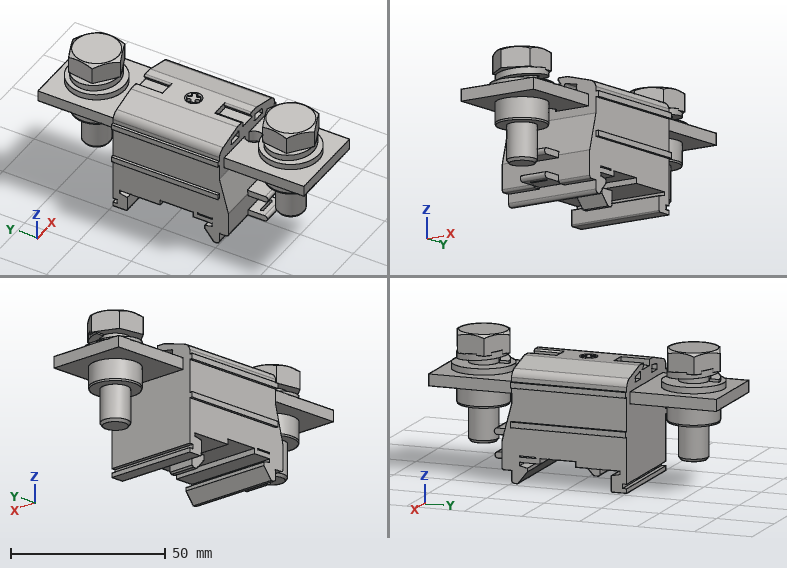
import cadquery as cq
import math

OVERLAP = 0.5

BAR_LENGTH = 100.0
BAR_WIDTH = 29.2
BAR_THICKNESS = 4.0
BAR_TOP_Z = 33.2
BAR_BOTTOM_Z = BAR_TOP_Z - BAR_THICKNESS
BAR_HOLE_DIAMETER = 6.0
BAR_HOLE_Y = -22.7

HOUSING_WIDTH = 35.2
HOUSING_HEIGHT = 40.2
HALF_WIDTH = HOUSING_WIDTH / 2
ROOF_FLAT_WIDTH = 12.3
ROOF_SLOPE_DEG = 15.0
ROOF_SLOPE_END_X = 15.2
WALL_TOP_Z = 35.3

HOUSING_LENGTH = 40.0
HALF_LENGTH = HOUSING_LENGTH / 2
SKIRT_FRONT_Y = -23.4
SKIRT_BOTTOM_Z = 4.25
SKIRT_RADIUS = 0.9
SLOPE_TOP_Z = 26.5
SLOPE_BOTTOM_Z = 13.6
RAIL_SEAT_Z = 7.2
RELIEF_TOP_Z = 9.05
RELIEF_BACK_Y = 2.25
RELIEF_FRONT_Y = -10.1
CLAW_LIP_Z = 5.45
CLAW_UNDERCUT_Z = 6.1
REAR_CLAW_Y = 14.6
REAR_CLAW_RADIUS = 0.5
REAR_UNDERCUT_Y = 17.6
REAR_NOTCH_DEPTH = 1.5
REAR_NOTCH_BOTTOM_Z = 1.55
REAR_NOTCH_HEIGHT = 1.5
FRONT_CLAW_Y = -14.5
FRONT_UNDERCUT_Y = -17.2
FRONT_CLAW_TIP_Y = -17.9
FRONT_CLAW_RADIUS = 1.2

SLIT_LENGTH = 5.5
SLIT_HEIGHT = 0.4
SLIT_Y = -14.45
SLIT_Z = 9.15

RIB_SPAN = 37.2
RIB_HEIGHT = 1.9
RIB_CENTRES_Z = (19.65, 32.85)

SLOT_INNER_X = 5.0
SLOT_OUTER_X = 9.8
SLOT_BOTTOM_Z = 35.4
SLOT_INNER_TOP_Z = 37.95
SLOT_OUTER_TOP_Z = 37.2
SLOT_CORNER_RADIUS = 0.4

POCKET_DEPTH = 2.1
POCKET_LENGTH = 10.0
POCKET_LEFT_X = -2.95
POCKET_RIGHT_X = 2.95
LIP_RADIUS = 0.65
UNDERCUT_X = 3.3
FRONT_LIP_OUTER_X = -3.55
FRONT_LIP_INNER_X = -2.6
FRONT_LIP_DROP = 0.5

SCREW_DIAMETER = 4.7
SCREW_RIM_DIAMETER = 5.9
SCREW_RIM_DEPTH = 0.6
SCALLOP_RADIUS = 0.75
SCALLOP_OFFSET = 1.95
SCALLOP_DEPTH = 1.2
SCALLOP_COUNT = 4
SCALLOP_START_DEG = -24.0

TONGUE_WIDTH = 10.0
TONGUE_THICKNESS = 2.15
UPPER_TONGUE_Z = 13.75
UPPER_TONGUE_Y = -30.9
LOWER_TONGUE_Z = 5.85
LOWER_TONGUE_Y = -30.65
TONGUE_SLOT_LENGTH = 6.4
TONGUE_SLOT_WIDTH = 1.0
TONGUE_SLOT_Y = -27.3
HOOK_BACK_Y = 5.9
HOOK_FRONT_Y = 0.4
HOOK_BOTTOM_Z = 1.7
HOOK_TIP_Y = 3.7
HOOK_LIP_Z = 5.3
HOOK_CHAMFER = 0.6

BOLT_Y = 36.5
SHANK_DIAMETER = 10.0
SHANK_BOTTOM_Z = 9.1
SHANK_CHAMFER = 0.75
SHANK_CHAMFER_HEIGHT = 1.0
COLLAR_DIAMETER = 17.5
COLLAR_BOTTOM_Z = 21.7
COLLAR_CHAMFER = 0.2
COLLAR_CHAMFER_HEIGHT = 0.6
WASHER_DIAMETER = 21.0
WASHER_TOP_Z = 35.3
HEAD_BOTTOM_Z = 39.25
HEAD_TOP_Z = 46.2
HEAD_SIDES = 6
HEAD_ACROSS_FLATS = 17.0
HEAD_CROWN_DIAMETER = 16.2
HEAD_CROWN_SLOPE_DEG = 30.0
HEAD_CORNER_DEG = 82.0
SPRING_INNER_DIAMETER = 11.0
SPRING_OUTER_DIAMETER = 17.5
SPRING_THICKNESS = 2.2
SPRING_PITCH = 4.7
SPRING_START_DEG = 90.0
SPRING_START_Z = 34.0


def box_between(x0, x1, y0, y1, z0, z1):
    """Box given by its limits on each axis."""
    return cq.Workplane("XY").box(x1 - x0, y1 - y0, z1 - z0, centered=False).translate((x0, y0, z0))


def extrude_along_y(points, y0, y1):
    """Prism of an (x, z) outline between two Y positions."""
    return cq.Workplane("XZ", origin=(0, y1, 0)).polyline(points).close().extrude(y1 - y0)


def extrude_along_x(points, width):
    """Prism of a (y, z) outline, centred on X = 0."""
    return cq.Workplane("YZ").polyline(points).close().extrude(width / 2, both=True)


def revolve_about_z(points):
    """Solid of revolution of a (radius, z) outline."""
    return cq.Workplane("XZ").polyline(points).close().revolve(360, (0, 0, 0), (0, 1, 0))


def cylinder_between(diameter, z0, z1):
    """Cylinder on the Z axis between two heights."""
    return cq.Workplane("XY", origin=(0, 0, z0)).circle(diameter / 2).extrude(z1 - z0)


def housing_side_prism():
    """Side outline with the two rail claws, at full housing width."""
    outline = [
        (-HALF_LENGTH, HOUSING_HEIGHT),
        (-HALF_LENGTH, SLOPE_TOP_Z),
        (SKIRT_FRONT_Y, SLOPE_BOTTOM_Z),
        (SKIRT_FRONT_Y, SKIRT_BOTTOM_Z),
        (-HALF_LENGTH, SKIRT_BOTTOM_Z),
        (-HALF_LENGTH, 0),
        (FRONT_CLAW_TIP_Y, 0),
        (FRONT_CLAW_Y, SKIRT_BOTTOM_Z),
        (FRONT_CLAW_Y, CLAW_LIP_Z),
        (FRONT_UNDERCUT_Y, CLAW_UNDERCUT_Z),
        (FRONT_UNDERCUT_Y, RAIL_SEAT_Z),
        (RELIEF_FRONT_Y, RAIL_SEAT_Z),
        (RELIEF_FRONT_Y, RELIEF_TOP_Z),
        (RELIEF_BACK_Y, RELIEF_TOP_Z),
        (RELIEF_BACK_Y, RAIL_SEAT_Z),
        (REAR_UNDERCUT_Y, RAIL_SEAT_Z),
        (REAR_UNDERCUT_Y, CLAW_UNDERCUT_Z),
        (REAR_CLAW_Y, CLAW_LIP_Z),
        (REAR_CLAW_Y, 0),
        (HALF_LENGTH, 0),
        (HALF_LENGTH, HOUSING_HEIGHT),
    ]
    prism = extrude_along_x(outline, HOUSING_WIDTH)
    skirt_edge = cq.selectors.NearestToPointSelector((0, SKIRT_FRONT_Y, SKIRT_BOTTOM_Z))
    prism = prism.edges(skirt_edge).fillet(SKIRT_RADIUS)
    claw_edge = cq.selectors.NearestToPointSelector((0, -HALF_LENGTH, 0))
    prism = prism.edges(claw_edge).fillet(FRONT_CLAW_RADIUS)
    heel_edge = cq.selectors.NearestToPointSelector((0, REAR_CLAW_Y, 0))
    prism = prism.edges(heel_edge).fillet(REAR_CLAW_RADIUS)
    notch = box_between(
        -HALF_WIDTH, HALF_WIDTH,
        HALF_LENGTH - REAR_NOTCH_DEPTH, HALF_LENGTH,
        REAR_NOTCH_BOTTOM_Z, REAR_NOTCH_BOTTOM_Z + REAR_NOTCH_HEIGHT,
    )
    tongue_relief = box_between(
        -TONGUE_WIDTH / 2, TONGUE_WIDTH / 2,
        SKIRT_FRONT_Y, -HALF_LENGTH,
        SKIRT_BOTTOM_Z, LOWER_TONGUE_Z - TONGUE_THICKNESS / 2,
    )
    slit = cq.Workplane("XY", origin=(0, SLIT_Y, SLIT_Z)).box(HOUSING_WIDTH, SLIT_LENGTH, SLIT_HEIGHT)
    return prism.cut(notch).cut(tongue_relief).cut(slit)


def housing_cross_prism():
    """Housing cross-section: flat roof, sloping shoulders and rounded eaves."""
    flat = ROOF_FLAT_WIDTH / 2
    slope = math.radians(ROOF_SLOPE_DEG)
    shoulder = (ROOF_SLOPE_END_X, HOUSING_HEIGHT - (ROOF_SLOPE_END_X - flat) * math.tan(slope))
    half = (
        cq.Workplane("XZ", origin=(0, HALF_LENGTH, 0))
        .lineTo(0, HOUSING_HEIGHT)
        .lineTo(flat, HOUSING_HEIGHT)
        .lineTo(*shoulder)
        .tangentArcPoint((HALF_WIDTH, WALL_TOP_Z), relative=False)
        .lineTo(HALF_WIDTH, 0)
        .close()
        .extrude(HALF_LENGTH - SKIRT_FRONT_Y)
    )
    return half.union(half.mirror("YZ"))


def side_ribs():
    """Full-width slabs whose ends stand out of the housing sides as ribs."""
    ribs = cq.Workplane("XY")
    for z in RIB_CENTRES_Z:
        ribs = ribs.union(cq.Workplane("XY", origin=(0, 0, z)).box(RIB_SPAN, HOUSING_LENGTH, RIB_HEIGHT))
    return ribs


def roof_slot(side):
    """Slot running the length of the housing beside its centre line."""
    outline = [
        (side * SLOT_INNER_X, SLOT_BOTTOM_Z),
        (side * SLOT_OUTER_X, SLOT_BOTTOM_Z),
        (side * SLOT_OUTER_X, SLOT_OUTER_TOP_Z),
        (side * SLOT_INNER_X, SLOT_INNER_TOP_Z),
    ]
    slot = extrude_along_y(outline, -HALF_LENGTH, HALF_LENGTH)
    return slot.faces(">Z").edges("|Y").fillet(SLOT_CORNER_RADIUS)


def roof_pocket(y0, y1, left_points):
    """Pocket whose right wall is a rounded lip with an undercut; left_points run down the left wall."""
    floor_z = HOUSING_HEIGHT - POCKET_DEPTH
    lip_tip = (POCKET_RIGHT_X - LIP_RADIUS, HOUSING_HEIGHT - LIP_RADIUS)
    lip_middle = (
        POCKET_RIGHT_X - LIP_RADIUS * math.sin(math.pi / 4),
        HOUSING_HEIGHT - LIP_RADIUS * (1 - math.cos(math.pi / 4)),
    )
    profile = (
        cq.Workplane("XZ", origin=(0, y1, 0))
        .polyline(left_points)
        .lineTo(UNDERCUT_X, floor_z)
        .lineTo(*lip_tip)
        .threePointArc(lip_middle, (POCKET_RIGHT_X, HOUSING_HEIGHT))
    )
    return profile.close().extrude(y1 - y0)


def roof_pockets():
    """Rear pocket with a straight left wall and front pocket with a sloping left lip."""
    floor_z = HOUSING_HEIGHT - POCKET_DEPTH
    rear_left = [(POCKET_LEFT_X, HOUSING_HEIGHT), (POCKET_LEFT_X, floor_z)]
    front_left = [
        (FRONT_LIP_OUTER_X, HOUSING_HEIGHT),
        (FRONT_LIP_INNER_X, HOUSING_HEIGHT - FRONT_LIP_DROP),
        (FRONT_LIP_INNER_X, floor_z),
    ]
    rear = roof_pocket(HALF_LENGTH - POCKET_LENGTH, HALF_LENGTH, rear_left)
    front = roof_pocket(-HALF_LENGTH, -HALF_LENGTH + POCKET_LENGTH, front_left)
    return rear.union(front)


def screw_recess():
    """Conical groove round the screw head and the scallops in the head's rim."""
    core = SCREW_DIAMETER / 2
    groove_outline = [
        (core, HOUSING_HEIGHT),
        (SCREW_RIM_DIAMETER / 2, HOUSING_HEIGHT),
        (core, HOUSING_HEIGHT - SCREW_RIM_DEPTH),
    ]
    recess = revolve_about_z(groove_outline)
    head = cylinder_between(SCREW_DIAMETER, HOUSING_HEIGHT - SCALLOP_DEPTH, HOUSING_HEIGHT)
    scallops = (
        cq.Workplane("XY", origin=(0, 0, HOUSING_HEIGHT - SCALLOP_DEPTH))
        .polarArray(SCALLOP_OFFSET, SCALLOP_START_DEG, 360, SCALLOP_COUNT)
        .circle(SCALLOP_RADIUS)
        .extrude(SCALLOP_DEPTH)
        .intersect(head)
    )
    return recess.union(scallops)


def housing():
    """Housing with ribs, roof slots, pockets and screw recess."""
    body = housing_side_prism().intersect(housing_cross_prism()).union(side_ribs())
    for side in (-1, 1):
        body = body.cut(roof_slot(side))
    return body.cut(roof_pockets()).cut(screw_recess())


def conductor_bar():
    """Flat bar through the housing, with one access hole in front of it."""
    middle_z = BAR_TOP_Z - BAR_THICKNESS / 2
    bar = cq.Workplane("XY", origin=(0, 0, middle_z)).box(BAR_WIDTH, BAR_LENGTH, BAR_THICKNESS)
    hole = cylinder_between(BAR_HOLE_DIAMETER, BAR_BOTTOM_Z, BAR_TOP_Z)
    return bar.cut(hole.translate((0, BAR_HOLE_Y, 0)))


def tongue(tip_y, centre_z):
    """Flat tongue out of the skirt with a fully rounded tip."""
    root_y = SKIRT_FRONT_Y + OVERLAP
    radius = TONGUE_THICKNESS / 2
    return (
        cq.Workplane("YZ")
        .moveTo(root_y, centre_z - radius)
        .lineTo(tip_y + radius, centre_z - radius)
        .threePointArc((tip_y, centre_z), (tip_y + radius, centre_z + radius))
        .lineTo(root_y, centre_z + radius)
        .close()
        .extrude(TONGUE_WIDTH / 2, both=True)
    )


def lower_tongue():
    """Tongue with a screwdriver slot through it."""
    slot = (
        cq.Workplane("XY", origin=(0, TONGUE_SLOT_Y, LOWER_TONGUE_Z))
        .slot2D(TONGUE_SLOT_LENGTH, TONGUE_SLOT_WIDTH)
        .extrude(TONGUE_THICKNESS, both=True)
    )
    return tongue(LOWER_TONGUE_Y, LOWER_TONGUE_Z).cut(slot)


def locking_hook():
    """Hook under the rail seat, between the two claws."""
    outline = [
        (HOOK_BACK_Y, RAIL_SEAT_Z + OVERLAP),
        (HOOK_BACK_Y, HOOK_BOTTOM_Z + HOOK_CHAMFER),
        (HOOK_BACK_Y - HOOK_CHAMFER, HOOK_BOTTOM_Z),
        (HOOK_TIP_Y, HOOK_BOTTOM_Z),
        (HOOK_FRONT_Y, HOOK_LIP_Z),
        (HOOK_FRONT_Y, RAIL_SEAT_Z),
        (RELIEF_BACK_Y, RAIL_SEAT_Z),
        (RELIEF_BACK_Y, RAIL_SEAT_Z + OVERLAP),
    ]
    return extrude_along_x(outline, TONGUE_WIDTH)


def hex_head():
    """Hexagon prism with a conically chamfered crown."""
    height = HEAD_TOP_Z - HEAD_BOTTOM_Z
    corner_diameter = HEAD_ACROSS_FLATS / math.cos(math.pi / HEAD_SIDES)
    prism = (
        cq.Workplane("XY", origin=(0, 0, HEAD_BOTTOM_Z))
        .polygon(HEAD_SIDES, corner_diameter)
        .extrude(height)
    )
    crown_radius = HEAD_CROWN_DIAMETER / 2
    outer_radius = corner_diameter / 2
    crown_drop = (outer_radius - crown_radius) * math.tan(math.radians(HEAD_CROWN_SLOPE_DEG))
    crown_outline = [
        (0, HEAD_BOTTOM_Z),
        (outer_radius, HEAD_BOTTOM_Z),
        (outer_radius, HEAD_TOP_Z - crown_drop),
        (crown_radius, HEAD_TOP_Z),
        (0, HEAD_TOP_Z),
    ]
    crown = revolve_about_z(crown_outline)
    return prism.intersect(crown)


def spring_washer():
    """One turn of a rectangular bar wound on a helix."""
    inner = SPRING_INNER_DIAMETER / 2
    outer = SPRING_OUTER_DIAMETER / 2
    middle = (inner + outer) / 2
    path = cq.Wire.makeHelix(SPRING_PITCH, SPRING_PITCH, middle)
    section = cq.Workplane("XZ").center(middle, 0).rect(outer - inner, SPRING_THICKNESS)
    coil = section.sweep(cq.Workplane(path), isFrenet=True)
    coil = coil.rotate((0, 0, 0), (0, 0, 1), SPRING_START_DEG)
    return coil.translate((0, 0, SPRING_START_Z + SPRING_THICKNESS / 2))


def turned_parts():
    """Shank, collar and flat washer as one revolved outline."""
    shank = SHANK_DIAMETER / 2
    collar = COLLAR_DIAMETER / 2
    washer = WASHER_DIAMETER / 2
    outline = [
        (0, SHANK_BOTTOM_Z),
        (shank - SHANK_CHAMFER, SHANK_BOTTOM_Z),
        (shank, SHANK_BOTTOM_Z + SHANK_CHAMFER_HEIGHT),
        (shank, COLLAR_BOTTOM_Z),
        (collar - COLLAR_CHAMFER, COLLAR_BOTTOM_Z),
        (collar, COLLAR_BOTTOM_Z + COLLAR_CHAMFER_HEIGHT),
        (collar, BAR_TOP_Z),
        (washer, BAR_TOP_Z),
        (washer, WASHER_TOP_Z),
        (shank, WASHER_TOP_Z),
        (shank, HEAD_BOTTOM_Z),
        (0, HEAD_BOTTOM_Z),
    ]
    return revolve_about_z(outline)


def bolt_set():
    """Bolt, collar and washers on the Z axis."""
    bolt = turned_parts().union(hex_head()).rotate((0, 0, 0), (0, 0, 1), HEAD_CORNER_DEG)
    return bolt.union(spring_washer())


result = housing().union(conductor_bar())
result = result.union(tongue(UPPER_TONGUE_Y, UPPER_TONGUE_Z))
result = result.union(lower_tongue())
result = result.union(locking_hook())
bolt = bolt_set()
for bolt_y in (-BOLT_Y, BOLT_Y):
    result = result.union(bolt.translate((0, bolt_y, 0)))